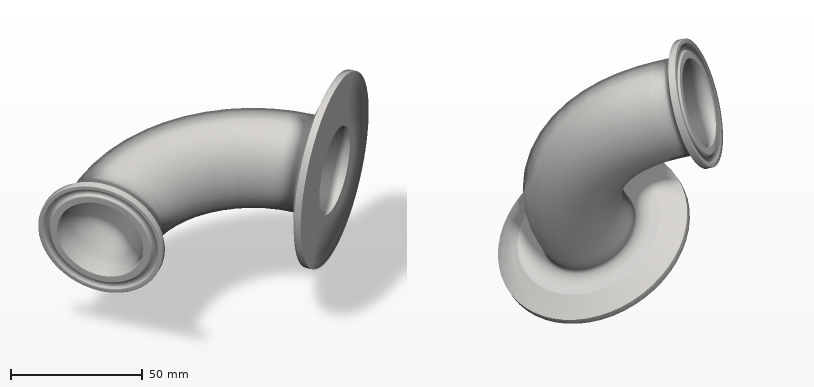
import cadquery as cq
import math

overall_length = 108.5

tube_diameter = 38.1
bore_diameter = 34.8
straight_length = 12.7

rim_thickness = 2.8
neck_fillet = 1.1

small_flange_diameter = 50.4
small_flange_height = 5.0
rim_edge_round = 0.3

groove_center_radius = 21.8
groove_depth = 1.5
groove_bottom_radius = 1.2
groove_wall_angle = math.radians(30)
groove_lip_round = 0.4

large_flange_diameter = 77.4
large_flange_height = 6.3
shoulder_diameter = 58.6
shoulder_round = 1.8

tube_radius = tube_diameter / 2
end_offset = overall_length - large_flange_diameter / 2
bend_radius = end_offset - straight_length

wall_foot_offset = groove_bottom_radius * math.cos(groove_wall_angle)
wall_foot_depth = groove_depth - groove_bottom_radius * (1 - math.sin(groove_wall_angle))
groove_half_width = wall_foot_offset + wall_foot_depth * math.tan(groove_wall_angle)
groove_inner_radius = groove_center_radius - groove_half_width
groove_outer_radius = groove_center_radius + groove_half_width


def round_ring(body, radius, height, size):
    """Fillet the circular edge of the given radius that lies at Z = height."""
    tolerance = 0.01

    def on_ring(edge):
        center = edge.Center()
        return (
            edge.geomType() == "CIRCLE"
            and abs(edge.radius() - radius) < tolerance
            and abs(center.z - height) < tolerance
            and abs(center.x) < tolerance
        )

    return body.edges().filter(on_ring).fillet(size)


def clamp_flange(diameter, back_points):
    """Solid flange with its tube stub, sealing face at Z = 0.

    The (radius, height) back points lead from the rim to the tube.
    """
    rim_radius = diameter / 2
    neck_height = back_points[-1][1]
    outline = [
        (0, 0),
        (rim_radius, 0),
        (rim_radius, rim_thickness),
        *back_points,
        (tube_radius, straight_length),
        (0, straight_length),
    ]
    body = cq.Workplane("XZ").polyline(outline).close().revolve(360, (0, 0, 0), (0, 1, 0))
    return round_ring(body, tube_radius, neck_height, neck_fillet)


def small_flange():
    """Flange whose cone runs straight to the tube, with a gasket groove in its face."""
    body = clamp_flange(small_flange_diameter, [(tube_radius, small_flange_height)])
    for height in (0, rim_thickness):
        body = round_ring(body, small_flange_diameter / 2, height, rim_edge_round)

    groove = (
        cq.Workplane("XZ")
        .moveTo(groove_inner_radius, 0)
        .lineTo(groove_center_radius - wall_foot_offset, wall_foot_depth)
        .threePointArc(
            (groove_center_radius, groove_depth),
            (groove_center_radius + wall_foot_offset, wall_foot_depth),
        )
        .lineTo(groove_outer_radius, 0)
        .close()
        .revolve(360, (0, 0, 0), (0, 1, 0))
    )
    body = body.cut(groove)
    for lip_radius in (groove_inner_radius, groove_outer_radius):
        body = round_ring(body, lip_radius, 0, groove_lip_round)
    return body


def large_flange():
    """Flange with a flat back around the tube and a softened shoulder above the cone."""
    shoulder_radius = shoulder_diameter / 2
    back_points = [(shoulder_radius, large_flange_height), (tube_radius, large_flange_height)]
    body = clamp_flange(large_flange_diameter, back_points)
    return round_ring(body, shoulder_radius, large_flange_height, shoulder_round)


def bend(diameter):
    """Quarter torus from the end of the small stub to the start of the large one."""
    return (
        cq.Workplane("XZ", origin=(0, -bend_radius, 0))
        .circle(diameter / 2)
        .revolve(90, (bend_radius, 0, 0), (bend_radius, -1, 0))
    )


def straight_bores():
    """Straight passages through both flanges, up to the bend."""
    bore_radius = bore_diameter / 2
    small_bore = cq.Workplane("XZ", origin=(0, -bend_radius, 0)).circle(bore_radius).extrude(straight_length)
    large_bore = cq.Workplane("YZ", origin=(bend_radius, 0, 0)).circle(bore_radius).extrude(straight_length)
    return small_bore, large_bore


small_end = small_flange().rotate((0, 0, 0), (1, 0, 0), -90).translate((0, -end_offset, 0))
large_end = large_flange().rotate((0, 0, 0), (0, 1, 0), -90).translate((end_offset, 0, 0))

result = bend(tube_diameter).union(small_end).union(large_end).cut(bend(bore_diameter))
for bore in straight_bores():
    result = result.cut(bore)